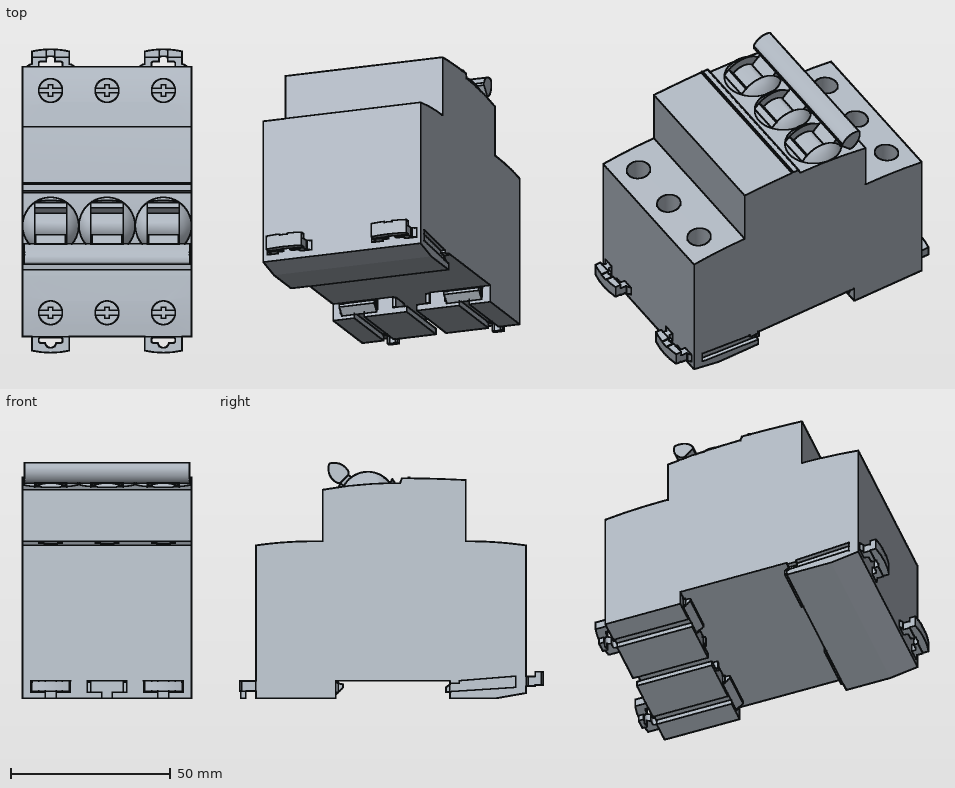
import cadquery as cq
import math

POLES = 3
WIDTH = 53.1
POLE_PITCH = WIDTH / POLES
POLE_XS = [(i - (POLES - 1) / 2) * POLE_PITCH for i in range(POLES)]
OUTER_XS = [POLE_XS[0], POLE_XS[-1]]
OVER = 1.0

HALF_LENGTH = 42.5
SHOULDER_Z = 49.4
SHOULDER_END_Z = 48.1
SHOULDER_BEND_Y = 23.3
TOWER_BACK_Y = 23.6
TOWER_FRONT_Y = -21.5
TOWER_BACK_Z = 68.6
TOWER_TOP_Z = 69.2
STEP_BACK_Y = 3.4
STEP_FRONT_Y = 2.9
DIAL_DECK_Z = 67.6
TOWER_FRONT_Z = 65.5
RAIL_BACK_Y = 18.5
RAIL_FRONT_Y = -17.3
RAIL_DEPTH = 5.4
FOOT_BEVEL_Y = 33.3
FOOT_BEVEL_Z = 1.6
RIDGE_Y = 5.7
RIDGE_WIDTH = 0.5
RIDGE_HEIGHT = 0.3

WELL_RADIUS = 3.7
WELL_Y = 34.9
SCREW_Z = 40.1
SCREW_SLOT_WIDTH = 1.4
SCREW_CROSS_LENGTH = 3.5
SCREW_SLOT_DEPTH = 1.0

DIAL_RADIUS = 9.9
DIAL_Y = -7.25
DIAL_Z = 62.7
DIAL_CAP_BASE_Z = 64.9
CHANNEL_HALF_WIDTH = 5.1
CHANNEL_FLOOR_Z = 65.8
CHANNEL_BACK_FOOT_Y = -0.3
CHANNEL_BACK_FOOT_Z = 67.6
CHANNEL_BACK_RIM_Y = 0.6
CHANNEL_BACK_RIM_Z = 69.2
CHANNEL_FRONT_Y = -15.1
DRUM_RADIUS = 5.5
DRUM_STEP_TOP_Y = -1.9
DRUM_STEP_FOOT_Y = -3.6

HANDLE_TILT = 45.0
HANDLE_LENGTH = 52.0
HANDLE_OFFSET = -0.8
HANDLE_BASE_U = 9.6
HANDLE_BASE_HALF = 1.9
HANDLE_CORNER_U = 10.2
HANDLE_CORNER_HALF = 2.5
HANDLE_MIDDLE_U = 13.4
HANDLE_MIDDLE_HALF = 2.6
HANDLE_NOSE_U = 16.0
HANDLE_NOSE_HALF = 0.7
HANDLE_TIP_U = 16.3
ARM_WIDTH = 9.3
ARM_THICKNESS = 3.6

SLOT_HALF_WIDTH = 6.2
SLOT_BOTTOM_Z = 1.9
STEM_HALF_WIDTH = 1.7
GUIDE_WIDTH = 1.1
GUIDE_TOP_Z = 5.0
GUIDE_FRONT_Y = -23.85
GUIDE_BACK_Y = -16.6
CLIP_HALF_WIDTH = 5.9
CLIP_BOTTOM_Z = 2.3
CLIP_CORNER_Y = -46.8
CLIP_TIP_Y = -47.5
CLIP_HOOK_Y = -15.0
CLIP_HOOK_ROOT_Z = 4.9
CLIP_HOOK_TOP_Z = 4.4
CLIP_HOOK_EDGE_Z = 3.4
CLIP_KEY_BACK_Y = -42.7
CLIP_KEY_Y = -44.4
CLIP_KEY_TIP_Y = -45.9
CLIP_TAB_BACK_Y = -45.6
CLIP_TAB_FRONT_Y = -47.2
KEY_HALF_WIDTH = 3.7
KEY_CORNER = 0.6

SLIDER_HEAD_Y = 45.3
SLIDER_CORNER_Y = 47.2
SLIDER_TIP_Y = 47.9
HEAD_TOP_Z = 8.4
HEAD_BOTTOM_Z = 4.1
NECK_TOP_Z = 6.9
NECK_BOTTOM_Z = 3.8
FLARE_HALF_WIDTH = 7.5
FLARE_CORNER_HALF = 6.3
FLARE_Y = 43.2
SLIDER_KEY_Y = 44.0
SLIDER_KEY_TIP_Y = 45.6
SLIDER_KEY_NOSE_HALF = 1.3
HEAD_GROOVE_DEPTH = 0.3
SLIDER_HOOK_Y = 17.3
SLIDER_HOOK_TOP_Z = 4.4
SLIDER_HOOK_EDGE_Z = 3.4
SLIDER_HOOK_BOTTOM_Z = 1.9

RECESS_DEPTH = 1.4
RECESS_BACK_Y = 39.3
RECESS_BACK_TOP_Z = 7.0
RECESS_BACK_BOTTOM_Z = 3.4
RECESS_STEP_Y = 21.5
RECESS_STEP_TOP_Z = 5.5
RECESS_END_TOP_Z = 4.8
RECESS_END_BOTTOM_Z = 2.1


def box(x0, x1, y0, y1, z0, z1):
    """Box between two opposite corners."""
    return cq.Workplane("XY").box(x1 - x0, y1 - y0, z1 - z0, centered=False).translate((x0, y0, z0))


def extrude_yz(outline, x, width):
    """Extrude a closed YZ outline to a width centred on x."""
    return outline.extrude(width / 2, both=True).translate((x, 0, 0))


def sagging_height(start_z, end_z):
    """Height halfway along a shallow arc that leaves start_z level and drops to end_z."""
    return start_z + (end_z - start_z) / 4


def make_housing():
    shoulder_mid_y = (SHOULDER_BEND_Y + HALF_LENGTH) / 2
    shoulder_mid_z = sagging_height(SHOULDER_Z, SHOULDER_END_Z)
    back_mid = ((TOWER_BACK_Y + STEP_BACK_Y) / 2, sagging_height(TOWER_TOP_Z, TOWER_BACK_Z))
    deck_mid = ((STEP_FRONT_Y + TOWER_FRONT_Y) / 2, sagging_height(DIAL_DECK_Z, TOWER_FRONT_Z))
    outline = (
        cq.Workplane("YZ")
        .moveTo(-HALF_LENGTH, 0)
        .lineTo(-HALF_LENGTH, SHOULDER_END_Z)
        .threePointArc((-shoulder_mid_y, shoulder_mid_z), (-SHOULDER_BEND_Y, SHOULDER_Z))
        .lineTo(TOWER_FRONT_Y, SHOULDER_Z)
        .lineTo(TOWER_FRONT_Y, TOWER_FRONT_Z)
        .threePointArc(deck_mid, (STEP_FRONT_Y, DIAL_DECK_Z))
        .lineTo(STEP_BACK_Y, TOWER_TOP_Z)
        .threePointArc(back_mid, (TOWER_BACK_Y, TOWER_BACK_Z))
        .lineTo(TOWER_BACK_Y, SHOULDER_Z)
        .threePointArc((shoulder_mid_y, shoulder_mid_z), (HALF_LENGTH, SHOULDER_END_Z))
        .lineTo(HALF_LENGTH, FOOT_BEVEL_Z)
        .lineTo(FOOT_BEVEL_Y, 0)
        .lineTo(RAIL_BACK_Y, 0)
        .lineTo(RAIL_BACK_Y, RAIL_DEPTH)
        .lineTo(RAIL_FRONT_Y, RAIL_DEPTH)
        .lineTo(RAIL_FRONT_Y, 0)
        .close()
    )
    ridge = box(
        -WIDTH / 2, WIDTH / 2,
        RIDGE_Y - RIDGE_WIDTH / 2, RIDGE_Y + RIDGE_WIDTH / 2,
        TOWER_BACK_Z, TOWER_TOP_Z + RIDGE_HEIGHT,
    )
    return extrude_yz(outline, 0, WIDTH).union(ridge)


def make_screw_well(x, y):
    """Round well down to a screw head with a full slot and a short cross slot."""
    well_height = SHOULDER_Z + OVER - SCREW_Z
    well = cq.Workplane("XY", origin=(x, y, SCREW_Z)).circle(WELL_RADIUS).extrude(well_height)
    slots = (
        cq.Workplane("XY", origin=(x, y, SCREW_Z))
        .rect(2 * WELL_RADIUS, SCREW_SLOT_WIDTH)
        .extrude(-SCREW_SLOT_DEPTH)
        .union(
            cq.Workplane("XY", origin=(x, y, SCREW_Z))
            .rect(SCREW_SLOT_WIDTH, SCREW_CROSS_LENGTH)
            .extrude(-SCREW_SLOT_DEPTH)
        )
    )
    return well.union(slots)


def make_dial_cap(x):
    """Ball cap resting in the deck, kept within its own pole."""
    ball = cq.Workplane("XY", origin=(x, DIAL_Y, DIAL_Z)).sphere(DIAL_RADIUS)
    pole_space = box(
        x - POLE_PITCH / 2, x + POLE_PITCH / 2,
        DIAL_Y - DIAL_RADIUS, DIAL_Y + DIAL_RADIUS,
        DIAL_CAP_BASE_Z, DIAL_Z + DIAL_RADIUS,
    )
    return ball.intersect(pole_space)


def make_dial_channel(x):
    """Cutter for the channel across the ball, with a leaning back wall."""
    top_z = DIAL_Z + DIAL_RADIUS + OVER
    outline = (
        cq.Workplane("YZ")
        .moveTo(CHANNEL_FRONT_Y, CHANNEL_FLOOR_Z)
        .lineTo(CHANNEL_FRONT_Y, top_z)
        .lineTo(CHANNEL_BACK_RIM_Y, top_z)
        .lineTo(CHANNEL_BACK_RIM_Y, CHANNEL_BACK_RIM_Z)
        .lineTo(CHANNEL_BACK_FOOT_Y, CHANNEL_BACK_FOOT_Z)
        .lineTo(CHANNEL_BACK_FOOT_Y, CHANNEL_FLOOR_Z)
        .close()
    )
    return extrude_yz(outline, x, 2 * CHANNEL_HALF_WIDTH)


def make_drum(x):
    """Drum in the channel: flush with the cheeks at the back, then stepped down to a smaller radius."""
    cheek_radius = math.sqrt(DIAL_RADIUS**2 - CHANNEL_HALF_WIDTH**2)

    def rim_point(y, radius):
        return (y, DIAL_Z + math.sqrt(radius**2 - (y - DIAL_Y) ** 2))

    back_mid_y = (CHANNEL_BACK_FOOT_Y + DRUM_STEP_TOP_Y) / 2
    outline = (
        cq.Workplane("YZ")
        .moveTo(CHANNEL_BACK_FOOT_Y, DIAL_Z)
        .lineTo(*rim_point(CHANNEL_BACK_FOOT_Y, cheek_radius))
        .threePointArc(rim_point(back_mid_y, cheek_radius), rim_point(DRUM_STEP_TOP_Y, cheek_radius))
        .lineTo(*rim_point(DRUM_STEP_FOOT_Y, DRUM_RADIUS))
        .threePointArc((DIAL_Y, DIAL_Z + DRUM_RADIUS), (DIAL_Y - DRUM_RADIUS, DIAL_Z))
        .close()
    )
    return extrude_yz(outline, x, 2 * CHANNEL_HALF_WIDTH)


def tilt_handle(solid):
    """Swing a solid drawn with u along +Z and v along +Y to the handle angle about the dial axis."""
    return solid.rotate((0, 0, 0), (1, 0, 0), HANDLE_TILT).translate((0, DIAL_Y, DIAL_Z))


def make_handle():
    v = HANDLE_OFFSET
    bar = (
        cq.Workplane("YZ")
        .moveTo(v - HANDLE_BASE_HALF, HANDLE_BASE_U)
        .lineTo(v - HANDLE_CORNER_HALF, HANDLE_CORNER_U)
        .threePointArc((v - HANDLE_MIDDLE_HALF, HANDLE_MIDDLE_U), (v - HANDLE_NOSE_HALF, HANDLE_NOSE_U))
        .threePointArc((v, HANDLE_TIP_U), (v + HANDLE_NOSE_HALF, HANDLE_NOSE_U))
        .threePointArc((v + HANDLE_MIDDLE_HALF, HANDLE_MIDDLE_U), (v + HANDLE_CORNER_HALF, HANDLE_CORNER_U))
        .lineTo(v + HANDLE_BASE_HALF, HANDLE_BASE_U)
        .close()
    )
    handle = extrude_yz(bar, 0, HANDLE_LENGTH)
    for x in POLE_XS:
        arm = box(
            x - ARM_WIDTH / 2, x + ARM_WIDTH / 2,
            v - ARM_THICKNESS / 2, v + ARM_THICKNESS / 2,
            0, HANDLE_CORNER_U,
        )
        handle = handle.union(arm)
    return tilt_handle(handle)


def make_t_slot(x):
    """T-slot through the front foot, open downward along its stem."""
    y0 = -HALF_LENGTH - OVER
    head = box(x - SLOT_HALF_WIDTH, x + SLOT_HALF_WIDTH, y0, RAIL_FRONT_Y, SLOT_BOTTOM_Z, RAIL_DEPTH)
    stem = box(x - STEM_HALF_WIDTH, x + STEM_HALF_WIDTH, y0, RAIL_FRONT_Y, -OVER, SLOT_BOTTOM_Z)
    return head.union(stem)


def make_slot_guides(x):
    """Low ribs on both side walls at the inner end of a T-slot, reaching just past the rail notch wall."""
    guides = cq.Workplane("XY")
    for side in (-1, 1):
        centre = x + side * (SLOT_HALF_WIDTH - GUIDE_WIDTH / 2)
        guide = box(
            centre - GUIDE_WIDTH / 2, centre + GUIDE_WIDTH / 2,
            GUIDE_FRONT_Y, GUIDE_BACK_Y,
            SLOT_BOTTOM_Z, GUIDE_TOP_Z,
        )
        guides = guides.add(guide)
    return guides.combine()


def make_front_clip(x):
    """Clip filling a T-slot, with a keyhole tab in front and a 45 degree hook at the rail notch."""
    hook_root_bottom_z = CLIP_HOOK_EDGE_Z - (CLIP_HOOK_Y - RAIL_FRONT_Y)
    side = (
        cq.Workplane("YZ")
        .moveTo(CLIP_TIP_Y, CLIP_BOTTOM_Z)
        .lineTo(CLIP_TIP_Y, RAIL_DEPTH)
        .lineTo(RAIL_FRONT_Y, RAIL_DEPTH)
        .lineTo(RAIL_FRONT_Y, CLIP_HOOK_ROOT_Z)
        .lineTo(CLIP_HOOK_Y, CLIP_HOOK_TOP_Z)
        .lineTo(CLIP_HOOK_Y, CLIP_HOOK_EDGE_Z)
        .lineTo(RAIL_FRONT_Y, hook_root_bottom_z)
        .lineTo(RAIL_FRONT_Y, CLIP_BOTTOM_Z)
        .close()
    )
    plan = (
        cq.Workplane("XY")
        .moveTo(x - CLIP_HALF_WIDTH, CLIP_HOOK_Y)
        .lineTo(x - CLIP_HALF_WIDTH, CLIP_CORNER_Y)
        .threePointArc((x, CLIP_TIP_Y), (x + CLIP_HALF_WIDTH, CLIP_CORNER_Y))
        .lineTo(x + CLIP_HALF_WIDTH, CLIP_HOOK_Y)
        .close()
        .extrude(RAIL_DEPTH)
    )
    key = (
        box(x - KEY_HALF_WIDTH, x + KEY_HALF_WIDTH, CLIP_KEY_Y, CLIP_KEY_BACK_Y, 0, RAIL_DEPTH)
        .edges("|Z")
        .fillet(KEY_CORNER)
        .union(
            cq.Workplane("XY")
            .moveTo(x - STEM_HALF_WIDTH, CLIP_KEY_BACK_Y)
            .lineTo(x - STEM_HALF_WIDTH, CLIP_KEY_Y)
            .threePointArc((x, CLIP_KEY_TIP_Y), (x + STEM_HALF_WIDTH, CLIP_KEY_Y))
            .lineTo(x + STEM_HALF_WIDTH, CLIP_KEY_BACK_Y)
            .close()
            .extrude(RAIL_DEPTH)
        )
    )
    tab = box(
        x - STEM_HALF_WIDTH, x + STEM_HALF_WIDTH,
        CLIP_TAB_FRONT_Y, CLIP_TAB_BACK_Y,
        0, CLIP_BOTTOM_Z + OVER,
    )
    return extrude_yz(side, x, 2 * CLIP_HALF_WIDTH).intersect(plan).cut(key).union(tab.cut(key))


def make_rear_slider(x):
    """Pull tab at the back face and its hook at the rail notch."""
    side = (
        cq.Workplane("YZ")
        .moveTo(HALF_LENGTH, NECK_BOTTOM_Z)
        .lineTo(SLIDER_HEAD_Y, NECK_BOTTOM_Z)
        .lineTo(SLIDER_HEAD_Y, HEAD_BOTTOM_Z)
        .lineTo(SLIDER_TIP_Y, HEAD_BOTTOM_Z)
        .lineTo(SLIDER_TIP_Y, HEAD_TOP_Z)
        .lineTo(SLIDER_HEAD_Y, HEAD_TOP_Z)
        .lineTo(SLIDER_HEAD_Y, NECK_TOP_Z)
        .lineTo(HALF_LENGTH, NECK_TOP_Z)
        .close()
    )
    plan = (
        cq.Workplane("XY")
        .moveTo(x - FLARE_HALF_WIDTH, HALF_LENGTH)
        .lineTo(x - FLARE_CORNER_HALF, FLARE_Y)
        .lineTo(x - CLIP_HALF_WIDTH, FLARE_Y)
        .lineTo(x - CLIP_HALF_WIDTH, SLIDER_CORNER_Y)
        .threePointArc((x, SLIDER_TIP_Y), (x + CLIP_HALF_WIDTH, SLIDER_CORNER_Y))
        .lineTo(x + CLIP_HALF_WIDTH, FLARE_Y)
        .lineTo(x + FLARE_CORNER_HALF, FLARE_Y)
        .lineTo(x + FLARE_HALF_WIDTH, HALF_LENGTH)
        .close()
        .extrude(HEAD_TOP_Z)
    )
    nose = SLIDER_KEY_NOSE_HALF
    key = box(x - KEY_HALF_WIDTH, x + KEY_HALF_WIDTH, HALF_LENGTH, SLIDER_KEY_Y, 0, HEAD_TOP_Z)
    key = key.edges("|Z and >Y").fillet(KEY_CORNER)
    key_nose = box(x - nose, x + nose, HALF_LENGTH, SLIDER_KEY_TIP_Y, 0, HEAD_TOP_Z)
    key_nose = key_nose.edges("|Z and >Y").fillet(KEY_CORNER)
    groove = box(x - nose, x + nose, HALF_LENGTH, SLIDER_TIP_Y, HEAD_TOP_Z - HEAD_GROOVE_DEPTH, HEAD_TOP_Z)
    head = extrude_yz(side, x, 2 * FLARE_HALF_WIDTH).intersect(plan).cut(key).cut(key_nose).cut(groove)
    hook = (
        cq.Workplane("YZ")
        .moveTo(RAIL_BACK_Y, SLIDER_HOOK_BOTTOM_Z)
        .lineTo(RAIL_BACK_Y, SLIDER_HOOK_TOP_Z)
        .lineTo(SLIDER_HOOK_Y, SLIDER_HOOK_EDGE_Z)
        .lineTo(SLIDER_HOOK_Y, SLIDER_HOOK_BOTTOM_Z)
        .close()
    )
    return head.union(extrude_yz(hook, x, 2 * FLARE_HALF_WIDTH))


def make_side_recess(side):
    """Sloped recess in one end wall, open to the rail notch; side is -1 or 1."""
    outline = (
        cq.Workplane("YZ")
        .moveTo(RECESS_BACK_Y, RECESS_BACK_BOTTOM_Z)
        .lineTo(RECESS_BACK_Y, RECESS_BACK_TOP_Z)
        .lineTo(RECESS_STEP_Y, RECESS_STEP_TOP_Z)
        .lineTo(RECESS_STEP_Y, RECESS_END_TOP_Z)
        .lineTo(RAIL_BACK_Y, RECESS_END_TOP_Z)
        .lineTo(RAIL_BACK_Y, RECESS_END_BOTTOM_Z)
        .close()
    )
    return extrude_yz(outline, side * WIDTH / 2, 2 * RECESS_DEPTH)


result = make_housing()
for pole_x in POLE_XS:
    for well_y in (-WELL_Y, WELL_Y):
        result = result.cut(make_screw_well(pole_x, well_y))
    result = result.union(make_dial_cap(pole_x))
    result = result.cut(make_t_slot(pole_x)).union(make_slot_guides(pole_x))
for pole_x in POLE_XS:
    result = result.cut(make_dial_channel(pole_x)).union(make_drum(pole_x))
for wall_side in (-1, 1):
    result = result.cut(make_side_recess(wall_side))
for clip_x in OUTER_XS:
    result = result.union(make_front_clip(clip_x)).union(make_rear_slider(clip_x))
result = result.union(make_handle())